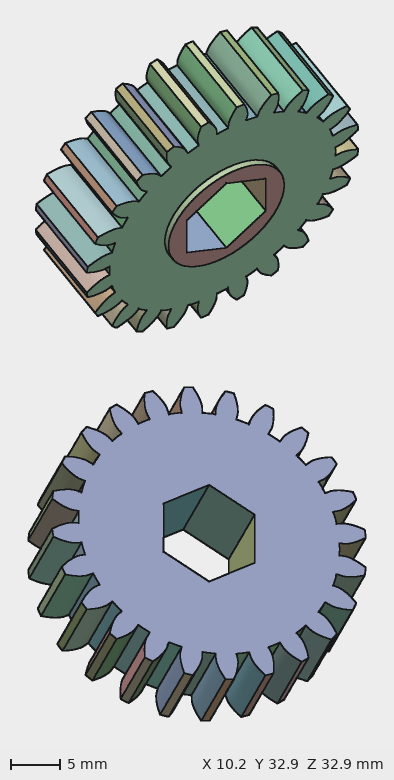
import cadquery as cq
import math


overall_size = 32.85
overall_width = 10.15
hub_height = 0.7
hub_diameter = 14.0
bore_across_flats = 9.52

tooth_count = 24
pressure_angle = math.radians(20)
addendum_factor = 1.0
dedendum_factor = 1.25
flank_points = 6

face_width = overall_width - hub_height
tooth_pitch = 2 * math.pi / tooth_count


def involute(angle):
    """Polar angle swept by an involute at the given pressure angle."""
    return math.tan(angle) - angle


base_half_angle = tooth_pitch / 4 + involute(pressure_angle)
tip_to_pitch = 1 + 2 * addendum_factor / tooth_count
tip_pressure_angle = math.acos(math.cos(pressure_angle) / tip_to_pitch)
tip_half_angle = base_half_angle - involute(tip_pressure_angle)

tip_radius = overall_size / 2 / math.cos(tooth_pitch / 2 - tip_half_angle)
pitch_radius = tip_radius / tip_to_pitch
module = 2 * pitch_radius / tooth_count
base_radius = pitch_radius * math.cos(pressure_angle)
root_radius = pitch_radius - dedendum_factor * module


def polar(radius, angle):
    return (radius * math.cos(angle), radius * math.sin(angle))


def flank(center_angle, side):
    """Points of one flank: radial from the root, then involute to the tip; side is -1 or +1."""
    tip_roll_angle = math.tan(tip_pressure_angle)
    points = [polar(root_radius, center_angle + side * base_half_angle)]
    for i in range(flank_points):
        roll_angle = tip_roll_angle * i / (flank_points - 1)
        radius = base_radius * math.hypot(1, roll_angle)
        half_angle = base_half_angle - (roll_angle - math.atan(roll_angle))
        points.append(polar(radius, center_angle + side * half_angle))
    return points


def add_tooth(outline, center_angle):
    """Add one tooth and the root arc that leads to the next tooth."""
    rising = flank(center_angle, -1)
    falling = flank(center_angle, 1)[::-1]
    next_center = center_angle + tooth_pitch
    gap_center = center_angle + tooth_pitch / 2
    outline = outline.spline(rising[1:], includeCurrent=True)
    outline = outline.threePointArc(polar(tip_radius, center_angle), falling[0])
    outline = outline.spline(falling[1:], includeCurrent=True)
    return outline.threePointArc(
        polar(root_radius, gap_center), polar(root_radius, next_center - base_half_angle)
    )


def make_toothed_wheel():
    first_center = tooth_pitch / 2
    outline = cq.Workplane("YZ").moveTo(*polar(root_radius, first_center - base_half_angle))
    for i in range(tooth_count):
        outline = add_tooth(outline, first_center + i * tooth_pitch)
    return outline.close().extrude(face_width)


def make_hub():
    return cq.Workplane("YZ").workplane(offset=face_width).circle(hub_diameter / 2).extrude(hub_height)


def make_bore():
    """Hexagonal through bore with two corners on the Z direction."""
    across_corners = bore_across_flats / math.cos(math.pi / 6)
    return (
        cq.Workplane("YZ")
        .transformed(rotate=(0, 0, 90))
        .polygon(6, across_corners)
        .extrude(overall_width)
    )


result = make_toothed_wheel().union(make_hub()).cut(make_bore())